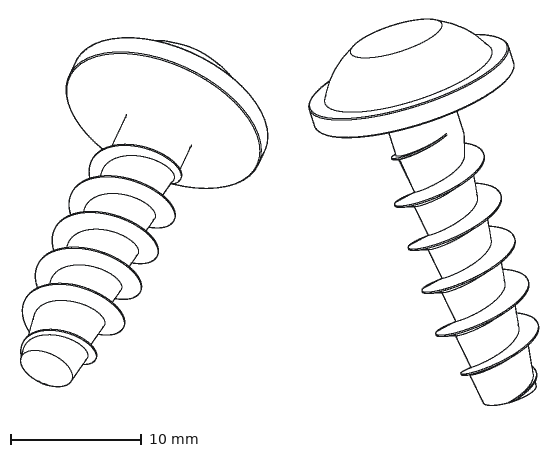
import cadquery as cq
import math

overall_length = 29.8
head_height = 4.8
flange_thickness = 1.6
flange_diameter = 16.0
flange_radius = flange_diameter / 2
flange_chamfer = 0.1
dome_base_radius = 6.7
dome_mid_radius = 5.42
dome_mid_drop = 1.35
dome_top_radius = 3.67
shank_radius = 2.75
neck_fillet = 1.0
shank_end = -4.05
tip_end = head_height - overall_length

pitch = 3.6
thread_start_y = -4.3
crest_radius = 4.0
crest_half_width = 0.05
head_side_width = 0.55
tip_side_width = 0.6
core_radius = 2.6
core_slope = 0.14
tip_diameter = 4.25
tip_radius = tip_diameter / 2
least_ridge_height = 0.03

HEAD_ROOT = 0
TIP_ROOT = 3

run_in_rate = 1.13
run_out_rate = 1.25
run_in_end = 0.75
run_out_start = 4.25
first_turn = -1
last_turn = 7
spans_per_turn = 4
points_per_span = 6

lead_cone_length = 2.1
lead_cone_end_radius = 2.15

tip_dimple_radius = 1.97
tip_dimple_depth = 0.15


def revolve_profile(profile):
    return profile.close().revolve(360, (0, 0, 0), (0, 1, 0))


def make_head_and_shank():
    top_shoulder = flange_radius - flange_chamfer
    fillet_mid = neck_fillet * (1 - math.sqrt(0.5))
    profile = (
        cq.Workplane("XY")
        .moveTo(0, head_height)
        .lineTo(dome_top_radius, head_height)
        .threePointArc((dome_mid_radius, head_height - dome_mid_drop), (dome_base_radius, flange_thickness))
        .lineTo(top_shoulder, flange_thickness)
        .lineTo(flange_radius, flange_thickness - flange_chamfer)
        .lineTo(flange_radius, flange_chamfer)
        .lineTo(top_shoulder, 0)
        .lineTo(shank_radius + neck_fillet, 0)
        .threePointArc((shank_radius + fillet_mid, -fillet_mid), (shank_radius, -neck_fillet))
        .lineTo(shank_radius, shank_end)
        .lineTo(lead_cone_end_radius, shank_end - lead_cone_length)
        .lineTo(0, shank_end - lead_cone_length)
    )
    return revolve_profile(profile)


def ridge_centre_y(turn):
    return thread_start_y - pitch * turn


def core_at(turn, offset):
    """Core radius at an axial distance past the ridge centre, kept inside the cone of the tip."""
    between_ridges = core_radius - core_slope * (offset - tip_side_width)
    tip_cone = tip_radius + core_slope * (ridge_centre_y(turn) - offset - tip_end)
    return min(between_ridges, tip_cone)


def crest_at(turn):
    run_in = crest_radius - run_in_rate * max(0, run_in_end - turn)
    run_out = crest_radius - run_out_rate * max(0, turn - run_out_start)
    return max(min(run_in, run_out), core_at(turn, 0) + least_ridge_height)


def ridge_section(turn):
    """Corners of the ridge as (radius, distance past its centre), from the head side to the tip side."""
    crest = crest_at(turn)
    height_share = (crest - core_at(turn, 0)) / (crest_radius - core_radius)
    head_side = -crest_half_width - (head_side_width - crest_half_width) * height_share
    tip_side = crest_half_width + (tip_side_width - crest_half_width) * height_share
    return [
        (core_at(turn - 1, pitch + head_side), head_side),
        (crest, -crest_half_width),
        (crest, crest_half_width),
        (core_at(turn, tip_side), tip_side),
    ]


def ridge_corner(turn, corner):
    radius, offset = ridge_section(turn)[corner]
    angle = 2 * math.pi * turn
    return cq.Vector(radius * math.cos(angle), ridge_centre_y(turn) - offset, radius * math.sin(angle))


def axis_point(turn):
    """Point on the screw axis level with the head-side root of the ridge."""
    return cq.Vector(0, ridge_corner(turn, HEAD_ROOT).y, 0)


def span_edge(point_at, start):
    """Spline through a point that moves along one span of the thread."""
    turns = [start + step / (points_per_span * spans_per_turn) for step in range(points_per_span + 1)]
    return cq.Edge.makeSpline([point_at(turn) for turn in turns], parameters=turns)


def thread_edge(corner, start):
    return span_edge(lambda turn: ridge_corner(turn, corner), start)


def ridge_faces(start):
    """Head-side flank, crest and tip-side flank over one span."""
    edges = [thread_edge(corner, start) for corner in range(TIP_ROOT + 1)]
    return [cq.Face.makeRuledSurface(edge, following) for edge, following in zip(edges, edges[1:])]


def core_face(start):
    """Tapered core from one ridge to the next over one span."""
    return cq.Face.makeRuledSurface(thread_edge(TIP_ROOT, start), thread_edge(HEAD_ROOT, start + 1))


def cap_face(start):
    """Helical ramp from the axis to the ridge root over one span."""
    return cq.Face.makeRuledSurface(span_edge(axis_point, start), thread_edge(HEAD_ROOT, start))


def step_face(turn):
    """Flat radial wall between the two ends of a one-turn cap, bounded by the thread section."""
    spans = [turn + span / spans_per_turn for span in range(spans_per_turn + 1)]
    outline = [axis_point(start) for start in reversed(spans)]
    outline += [ridge_corner(turn, corner) for corner in range(TIP_ROOT + 1)]
    outline.append(ridge_corner(turn + 1, HEAD_ROOT))
    return cq.Face.makeFromWires(cq.Wire.makePolygon(outline, close=True))


def make_threaded_core():
    span_total = (last_turn - first_turn) * spans_per_turn
    faces = []
    for span in range(span_total):
        start = first_turn + span / spans_per_turn
        if start < last_turn - 1:
            faces += ridge_faces(start)
            faces.append(core_face(start))
        if start < first_turn + 1 or start >= last_turn - 1:
            faces.append(cap_face(start))
    faces.append(step_face(first_turn))
    faces.append(step_face(last_turn - 1))
    return cq.Workplane(cq.Solid.makeSolid(cq.Shell.makeShell(faces)).fix())


def cut_beyond_tip(body):
    removed_length = 3 * pitch
    beyond_tip = cq.Workplane("XZ", origin=(0, tip_end, 0)).circle(flange_radius).extrude(removed_length)
    return body.cut(beyond_tip)


def make_tip_dimple():
    """Shallow cone sunk into the end face."""
    profile = (
        cq.Workplane("XY")
        .moveTo(0, tip_end)
        .lineTo(tip_dimple_radius, tip_end)
        .lineTo(0, tip_end + tip_dimple_depth)
    )
    return revolve_profile(profile)


threaded_core = cut_beyond_tip(make_threaded_core())
result = make_head_and_shank().union(threaded_core).cut(make_tip_dimple())